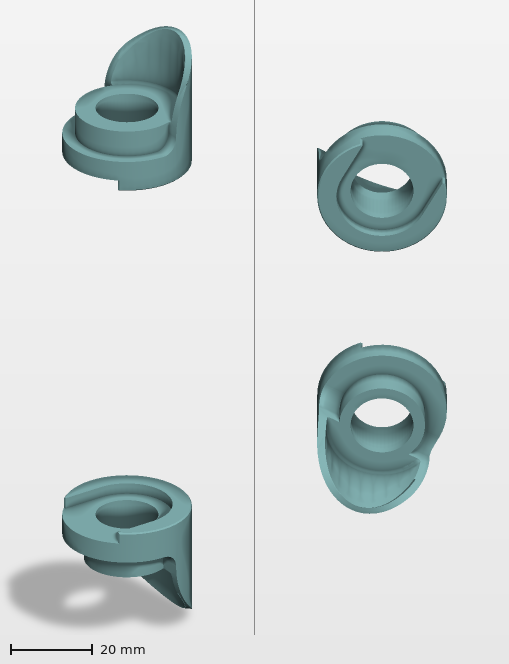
import cadquery as cq
import math

TOTAL_HEIGHT = 157.5
FITTING_HEIGHT = 31.7

OUTER_RADIUS = 15.9
BASE_HEIGHT = 8.0
BASE_CHAMFER = 0.3
BORE_RADIUS = 7.7

HUB_HEIGHT = 14.8
UPPER_HUB_RADIUS = 12.8
LOWER_HUB_RADIUS = 10.5

SLOT_RADIUS = 11.2
SLOT_DEPTH = 2.8
SLOT_MOUTH_Y = -10.5

WALL_ROOT_RADIUS = 13.7
WALL_TIP_RADIUS = 14.3
WALL_FILLET = 0.8
ROOT_RADIUS = 4.0
ROOT_TOP = BASE_HEIGHT + ROOT_RADIUS

RIM_ANGLE = math.radians(45)
RIM_RISE = FITTING_HEIGHT - OUTER_RADIUS
CURVE_RADIUS = (RIM_RISE + ROOT_RADIUS - ROOT_TOP) / (1 / math.cos(RIM_ANGLE) - 1)

TOOL_MARGIN = 7.9


def cylinder(radius, bottom, top):
    return cq.Workplane("XY").workplane(offset=bottom).circle(radius).extrude(top - bottom)


def curve_point(angle):
    """(Y, Z) of the convex side curve after turning by the given angle."""
    y = ROOT_RADIUS + CURVE_RADIUS * (1 - math.cos(angle))
    z = ROOT_TOP + CURVE_RADIUS * math.sin(angle)
    return y, z


def make_side_envelope():
    """Side profile of the shield up to the end of its curve, extruded across X."""
    root_mid_y = ROOT_RADIUS * math.sin(math.pi / 4)
    root_mid_z = ROOT_TOP - ROOT_RADIUS * math.cos(math.pi / 4)
    curve_end = curve_point(RIM_ANGLE)
    return (
        cq.Workplane("YZ")
        .moveTo(0, BASE_HEIGHT)
        .threePointArc((root_mid_y, root_mid_z), (ROOT_RADIUS, ROOT_TOP))
        .threePointArc(curve_point(RIM_ANGLE / 2), curve_end)
        .lineTo(curve_end[0], FITTING_HEIGHT)
        .lineTo(OUTER_RADIUS, FITTING_HEIGHT)
        .lineTo(OUTER_RADIUS, BASE_HEIGHT)
        .close()
        .extrude(OUTER_RADIUS, both=True)
    )


def rim_ellipse(radius, slope):
    """Ellipse on a vertical cylinder, tilted so that its +Y end is at full height."""
    centre = cq.Vector(0, 0, FITTING_HEIGHT - slope * radius)
    long_radius = radius * math.hypot(1, slope)
    normal = cq.Vector(0, -slope, 1)
    return cq.Wire.makeEllipse(
        long_radius, radius, centre, normal, cq.Vector(0, 1, slope), rotation_angle=0
    )


def make_rim_cutter():
    """Space above the rim, ruled from its inner edge to its outer edge and then upwards."""
    curve_y, curve_z = curve_point(RIM_ANGLE)
    inner_slope = (FITTING_HEIGHT - curve_z) / (WALL_TIP_RADIUS - curve_y)
    inner_edge = rim_ellipse(WALL_TIP_RADIUS, inner_slope)
    outer_edge = rim_ellipse(OUTER_RADIUS, math.tan(RIM_ANGLE))
    top_radius = OUTER_RADIUS + TOOL_MARGIN
    top = cq.Wire.makeEllipse(
        top_radius, top_radius, cq.Vector(0, 0, FITTING_HEIGHT + TOOL_MARGIN),
        cq.Vector(0, 0, 1), cq.Vector(0, 1, 0), rotation_angle=0
    )
    return cq.Workplane(cq.Solid.makeLoft([inner_edge, outer_edge, top], True))


def make_shield_hollow():
    """Widening round space above hub height, with a filleted root."""
    return (
        cq.Workplane("XY")
        .workplane(offset=HUB_HEIGHT)
        .circle(WALL_ROOT_RADIUS)
        .workplane(offset=FITTING_HEIGHT - HUB_HEIGHT)
        .circle(WALL_TIP_RADIUS)
        .loft(ruled=True)
        .faces("<Z")
        .edges()
        .fillet(WALL_FILLET)
    )


def make_shield():
    wall = cylinder(OUTER_RADIUS, BASE_HEIGHT, FITTING_HEIGHT).intersect(make_side_envelope())
    return wall.cut(make_shield_hollow()).cut(make_rim_cutter())


def slot_box(half_width, front_y, back_y):
    size_y = back_y - front_y
    box = cq.Workplane("XY").box(2 * half_width, size_y, SLOT_DEPTH, centered=(True, False, False))
    return box.translate((0, front_y, 0))


def make_slot():
    round_end = cylinder(SLOT_RADIUS, 0, SLOT_DEPTH)
    channel = slot_box(SLOT_RADIUS, -OUTER_RADIUS, 0)
    mouth = slot_box(OUTER_RADIUS, -OUTER_RADIUS, SLOT_MOUTH_Y)
    return round_end.union(channel).union(mouth)


def make_fitting(hub_radius):
    """One fitting with its underside at Z = 0 and its shield pointing up."""
    base = cylinder(OUTER_RADIUS, 0, BASE_HEIGHT).faces("<Z").chamfer(BASE_CHAMFER)
    hub = cylinder(hub_radius, BASE_HEIGHT, HUB_HEIGHT)
    bore = cylinder(BORE_RADIUS, 0, HUB_HEIGHT)
    return base.union(hub).union(make_shield()).cut(make_slot()).cut(bore)


upper_fitting = make_fitting(UPPER_HUB_RADIUS).translate((0, 0, TOTAL_HEIGHT - FITTING_HEIGHT))
lower_fitting = make_fitting(LOWER_HUB_RADIUS).mirror("XY").translate((0, 0, FITTING_HEIGHT))

result = cq.Compound.makeCompound([upper_fitting.val(), lower_fitting.val()])